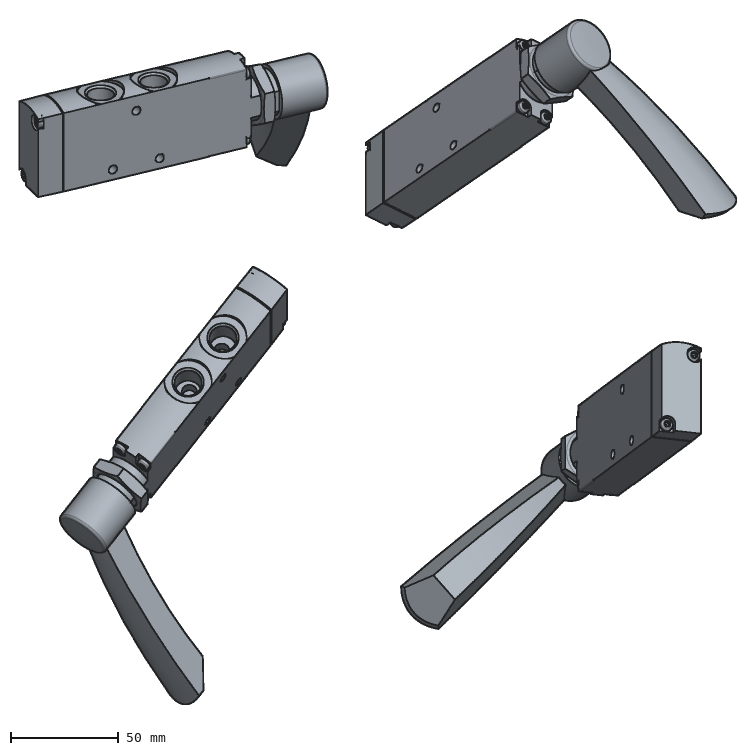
import cadquery as cq
import math

block_width = 20.0
block_side_height = 41.6
block_height = 43.6
cap_length = 13.2
main_end_y = 88.8
block_end_y = 110.5
head_edge_radius = 0.5
cap_draft_angle = 0.8
cap_joint_chamfer = 0.5

port_ys = (37.3, 65.0)
port_mid_y = sum(port_ys) / len(port_ys)
spot_face_diameter = 22.0
spot_face_z = 41.6
port_diameter = 12.7
port_mouth_diameter = 14.7
port_depth = 13.3
bore_diameter = 7.0
bore_depth = 6.7
bore_shift = 1.0
mounting_diameter = 4.3
mounting_yz = ((51.0, 33.6), (38.8, 5.5), (63.1, 5.5))

screw_x = 6.7
screw_low_z = 3.3
screw_high_z = 38.1
recess_diameter = 7.3
cap_recess_depth = 3.0
head_recess_depth = 2.3
screw_head_diameter = 6.0
screw_head_height = 2.3
screw_head_radius = 0.8
socket_diameter = 2.5
socket_mouth_diameter = 3.0
socket_depth = 1.3
socket_chamfer_angle = 90.0

axis_z = 20.6
neck_diameter = 22.6
hub_start_y = 125.0
nut_start_y = 115.2
nut_end_y = 121.4
nut_across_flats = 27.3
nut_chamfer_diameter = 26.5
nut_chamfer_height = 0.7

hub_diameter = 26.5
hub_rim_y = 149.0
hub_dome_height = 0.7
hub_edge_radius = 1.3
arm_lean = 45.0
arm_reach = 100.0
tip_radius = 24.5
arm_base_y = 126.5
arm_outer_y = 169.9
arm_base_half_width = 0.8
arm_flare = 0.34
arm_outer_half_width = arm_base_half_width + arm_flare * (arm_outer_y - arm_base_y)

back_radius = 399.6
back_center_reach = 134.4
back_center_y = -231.6
back_crown_radius = 28.3
front_radius = 239.8
front_center_reach = 97.7
front_center_y = -93.3

bevel_start_reach = 88.0
bevel_start_y = 146.4
bevel_slope = 1.37
bevel_margin = 5.0


def block_outline(y):
    """Rectangle with an arched top, in the plane at the given Y."""
    half_width = block_width / 2
    return (
        cq.Workplane("XZ", origin=(0, y, 0))
        .moveTo(-half_width, 0)
        .lineTo(half_width, 0)
        .lineTo(half_width, block_side_height)
        .threePointArc((0, block_height), (-half_width, block_side_height))
        .close()
    )


def rod_along_y(diameter, start_y, end_y, x=0.0, z=0.0):
    return cq.Workplane("XZ", origin=(x, start_y, z)).circle(diameter / 2).extrude(start_y - end_y)


def screw_recess(x, z, start_y, end_y):
    """Round recess that runs out of the block through its nearer end in Z."""
    middle_y = (start_y + end_y) / 2
    rise = block_height - z if z > block_height / 2 else -z
    slot = cq.Workplane("XY", origin=(x, middle_y, z)).rect(recess_diameter, end_y - start_y).extrude(rise)
    return rod_along_y(recess_diameter, start_y, end_y, x, z).union(slot)


def screw_head(x, z, floor_y, outward):
    """Round screw head standing on a recess floor; outward is +1 towards +Y and -1 towards -Y."""
    plane = cq.Plane(origin=(x, floor_y, z), xDir=(1, 0, 0), normal=(0, outward, 0))
    top_face = ">Y" if outward > 0 else "<Y"
    return (
        cq.Workplane(plane)
        .circle(screw_head_diameter / 2)
        .extrude(screw_head_height)
        .faces(top_face)
        .edges()
        .fillet(screw_head_radius)
        .faces(top_face)
        .workplane()
        .cskHole(socket_diameter, socket_mouth_diameter, socket_chamfer_angle, socket_depth)
    )


def make_cap():
    cap = block_outline(cap_length).extrude(cap_length, taper=cap_draft_angle)
    cap = cap.faces(">Y").chamfer(cap_joint_chamfer)
    cap = cap.cut(rod_along_y(recess_diameter, 0, cap_recess_depth, screw_x, screw_high_z))
    cap = cap.cut(screw_recess(-screw_x, screw_low_z, 0, cap_recess_depth))
    for x, z in ((screw_x, screw_high_z), (-screw_x, screw_low_z)):
        cap = cap.union(screw_head(x, z, cap_recess_depth, -1))
    return cap


def make_head():
    """Rear part of the housing with rounded long edges, screw recesses and the flatted neck."""
    head = block_outline(main_end_y).extrude(main_end_y - block_end_y)
    head = head.edges("|Y").fillet(head_edge_radius)
    floor_y = block_end_y - head_recess_depth
    for x in (-screw_x, screw_x):
        for z in (screw_low_z, screw_high_z):
            head = head.cut(screw_recess(x, z, floor_y, block_end_y))
            head = head.union(screw_head(x, z, floor_y, 1))
    neck = rod_along_y(neck_diameter, block_end_y, hub_start_y, z=axis_z)
    flats = (
        cq.Workplane("XZ", origin=(0, block_end_y, axis_z))
        .rect(block_width, neck_diameter)
        .extrude(block_end_y - hub_start_y)
    )
    return head.union(neck.intersect(flats))


def cut_port(housing, port_y):
    """Spot face, chamfered port and an offset bore in its floor."""
    mouth_chamfer = (port_mouth_diameter - port_diameter) / 2
    floor_z = spot_face_z - port_depth
    bore_y = port_y + math.copysign(bore_shift, port_mid_y - port_y)
    spot_face = cq.Workplane("XY", origin=(0, port_y, spot_face_z)).circle(spot_face_diameter / 2)
    port = cq.Workplane("XY", origin=(0, port_y, floor_z)).circle(port_diameter / 2).extrude(port_depth)
    mouth = cq.Workplane("XY").add(
        cq.Solid.makeCone(
            port_diameter / 2,
            port_mouth_diameter / 2,
            mouth_chamfer,
            cq.Vector(0, port_y, spot_face_z - mouth_chamfer),
        )
    )
    bore = cq.Workplane("XY", origin=(0, bore_y, floor_z)).circle(bore_diameter / 2).extrude(-bore_depth)
    return housing.cut(spot_face.extrude(block_height)).cut(port).cut(mouth).cut(bore)


def make_housing():
    housing = block_outline(cap_length).extrude(cap_length - main_end_y)
    for port_y in port_ys:
        housing = cut_port(housing, port_y)
    mounting_holes = (
        cq.Workplane("YZ")
        .pushPoints(mounting_yz)
        .circle(mounting_diameter / 2)
        .extrude(block_width, both=True)
    )
    return housing.cut(mounting_holes).union(make_head())


def make_nut():
    """Hexagon nut with two flats facing +X and -X, its corners cut back by cones."""
    corner_diameter = nut_across_flats / math.cos(math.pi / 6)
    height = nut_end_y - nut_start_y
    nut = (
        cq.Workplane("XZ", origin=(0, nut_start_y, axis_z))
        .transformed(rotate=(0, 0, 90))
        .polygon(6, corner_diameter)
        .extrude(-height)
    )
    chamfer_width = (corner_diameter - nut_chamfer_diameter) / 2
    blank = rod_along_y(corner_diameter, nut_start_y, nut_end_y, z=axis_z)
    blank = blank.faces("<Y or >Y").edges().chamfer(nut_chamfer_height, chamfer_width)
    return nut.intersect(blank).cut(rod_along_y(neck_diameter, nut_start_y, nut_end_y, z=axis_z))


def make_hub():
    rim_radius = hub_diameter / 2
    dome_radius = (rim_radius**2 + hub_dome_height**2) / (2 * hub_dome_height)
    mid_drop = dome_radius - math.sqrt(dome_radius**2 - (rim_radius / 2) ** 2)
    top_y = hub_rim_y + hub_dome_height
    hub = (
        cq.Workplane("XY")
        .moveTo(0, hub_start_y)
        .lineTo(rim_radius, hub_start_y)
        .lineTo(rim_radius, hub_rim_y)
        .threePointArc((rim_radius / 2, top_y - mid_drop), (0, top_y))
        .close()
        .revolve(360, (0, 0), (0, 1))
    )
    rim = cq.selectors.NearestToPointSelector((-rim_radius, hub_rim_y, 0))
    return hub.edges(rim).fillet(hub_edge_radius)


def make_arm():
    """Arm pointing to -Z from the Y axis: a flared bar trimmed by its long faces, tip and bevel."""
    bar = (
        cq.Workplane("XY")
        .polyline(
            [
                (-arm_base_half_width, arm_base_y),
                (arm_base_half_width, arm_base_y),
                (arm_outer_half_width, arm_outer_y),
                (-arm_outer_half_width, arm_outer_y),
            ]
        )
        .close()
        .extrude(-arm_reach)
    )

    crown_half_width = arm_outer_half_width
    crown_drop = back_crown_radius - math.sqrt(back_crown_radius**2 - crown_half_width**2)
    back_disc = (
        cq.Workplane("XY")
        .moveTo(-crown_half_width, 0)
        .lineTo(crown_half_width, 0)
        .lineTo(crown_half_width, back_radius - crown_drop)
        .threePointArc((0, back_radius), (-crown_half_width, back_radius - crown_drop))
        .close()
        .revolve(360, (0, 0), (1, 0))
        .translate((0, back_center_y, -back_center_reach))
    )

    front_disc = (
        cq.Workplane("YZ")
        .center(front_center_y, -front_center_reach)
        .circle(front_radius)
        .extrude(arm_outer_half_width, both=True)
    )

    tip_center_z = tip_radius - arm_reach
    plan = (
        cq.Workplane("XZ")
        .moveTo(-tip_radius, 0)
        .lineTo(-tip_radius, tip_center_z)
        .threePointArc((0, -arm_reach), (tip_radius, tip_center_z))
        .lineTo(tip_radius, 0)
        .close()
        .extrude(-arm_outer_y)
    )

    bevel_end_reach = arm_reach + bevel_margin
    bevel_low_reach = bevel_start_reach - bevel_margin
    bevel_low_y = bevel_start_y - bevel_slope * bevel_margin
    bevel_end_y = bevel_start_y + bevel_slope * (bevel_end_reach - bevel_start_reach)
    bevel = (
        cq.Workplane("YZ")
        .polyline(
            [
                (bevel_low_y, -bevel_low_reach),
                (bevel_end_y, -bevel_end_reach),
                (bevel_low_y, -bevel_end_reach),
            ]
        )
        .close()
        .extrude(arm_outer_half_width, both=True)
    )
    return bar.intersect(back_disc).intersect(plan).cut(front_disc).cut(bevel)


def make_lever():
    lever = make_hub().union(make_arm())
    return lever.rotate((0, 0, 0), (0, 1, 0), arm_lean).translate((0, 0, axis_z))


cap = make_cap()
housing = make_housing()
nut = make_nut()
lever = make_lever()

result = cq.Compound.makeCompound([cap.val(), housing.val(), nut.val(), lever.val()])